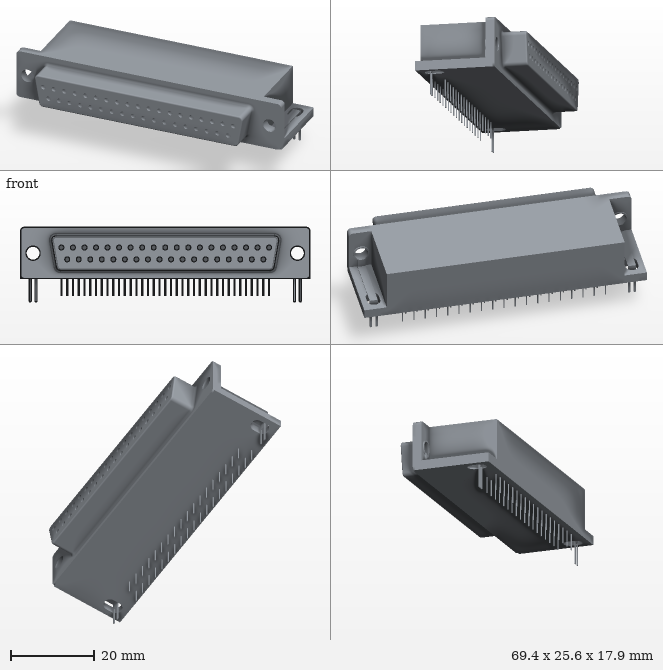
import cadquery as cq
import math

width = 69.4
height = 12.35
sheet_thickness = 0.4
plate_rear = 2.2
corner_radius = 1.0
axis_height = 6.1

housing_width = 58.45
housing_rear = 19.5
flange_thickness = 2.3

shell_length = 6.1
shell_half_width = 27.4
shell_height = 8.25
shell_slant = math.radians(10)
shell_corner_radius = 1.0
shell_front_round = 0.35
shell_base_fillet = 0.55

upper_count = 19
upper_row_span = 49.8
contact_pitch = upper_row_span / (upper_count - 1)
lower_count = upper_count - 1
row_spacing = 2.85
contact_mid_height = 6.05
socket_diameter = 1.2
socket_depth = shell_length
pin_diameter = 0.3
pin_length = 4.0
upper_pin_y = housing_rear - 1.9
lower_pin_y = upper_pin_y - row_spacing

mount_x = 31.7
mount_diameter = 3.3
slot_width = 3.2
eyelet_diameter = 4.0
eyelet_thickness = 0.3

strap_width = 1.95
strap_thickness = 0.2
strap_upright_thickness = 0.5
strap_rear = housing_rear - 3.1
prong_width = 0.55
prong_length = 5.55
prong_chamfer = 0.15
slot_rear_center = housing_rear - 3.25
slot_front_center = housing_rear - 4.85


def box(x_range, y_range, z_range):
    """Box spanning the given (low, high) ranges."""
    size = [high - low for low, high in (x_range, y_range, z_range)]
    corner = (x_range[0], y_range[0], z_range[0])
    return cq.Workplane("XY").box(*size, centered=False).translate(corner)


def rod_along_y(x, z, diameter, y_start, y_end):
    """Cylinder parallel to Y between two depths."""
    profile = cq.Workplane("XZ", origin=(x, y_start, z)).circle(diameter / 2)
    return profile.extrude(y_start - y_end)


def row_positions(count):
    """X positions of a centred row of contacts."""
    return [(i - (count - 1) / 2) * contact_pitch for i in range(count)]


def make_body():
    """Housing, flanges, moulded plate and front sheet."""
    half = width / 2
    plate = box((-half, half), (sheet_thickness, plate_rear), (0, height))
    plate = plate.edges("|Y and >Z").fillet(corner_radius)
    sheet = box((-half, half), (0, sheet_thickness), (0, height))
    sheet = sheet.edges("|Y").fillet(corner_radius)
    half_housing = housing_width / 2
    housing = box((-half_housing, half_housing), (sheet_thickness, housing_rear), (0, height))
    flange = box((-half, half), (sheet_thickness, housing_rear), (0, flange_thickness))
    return plate.union(sheet).union(housing).union(flange)


def add_shell(body):
    """Rounded trapezoidal shell, flared where it meets the sheet."""
    bottom_half_width = shell_half_width - shell_height * math.tan(shell_slant)
    top = axis_height + shell_height / 2
    bottom = axis_height - shell_height / 2
    outline = [
        (-shell_half_width, top),
        (shell_half_width, top),
        (bottom_half_width, bottom),
        (-bottom_half_width, bottom),
    ]
    shell = cq.Workplane("XZ", origin=(0, sheet_thickness, 0)).polyline(outline).close()
    shell = shell.extrude(shell_length + sheet_thickness)
    shell = shell.edges("|Y").fillet(shell_corner_radius)
    shell = shell.faces("<Y").edges().fillet(shell_front_round)
    body = body.union(shell)
    reach = 2 * shell_base_fillet
    edge_margin = 0.01
    base_zone = cq.selectors.BoxSelector(
        (-shell_half_width - reach, -edge_margin, bottom - reach),
        (shell_half_width + reach, edge_margin, top + reach),
        boundingbox=True,
    )
    return body.edges(base_zone).fillet(shell_base_fillet)


def add_contacts(body):
    """Sockets in the shell front and one solder pin for each socket."""
    rows = (
        (upper_count, contact_mid_height + row_spacing / 2, upper_pin_y),
        (lower_count, contact_mid_height - row_spacing / 2, lower_pin_y),
    )
    for count, socket_z, pin_y in rows:
        positions = row_positions(count)
        sockets = cq.Workplane("XZ", origin=(0, -shell_length, socket_z))
        sockets = sockets.pushPoints([(x, 0) for x in positions]).circle(socket_diameter / 2)
        body = body.cut(sockets.extrude(-socket_depth))
        pins = cq.Workplane("XY").pushPoints([(x, pin_y) for x in positions])
        body = body.union(pins.circle(pin_diameter / 2).extrude(-pin_length))
    return body


def make_strap(x):
    """Bent strap: upright behind the plate, flat over the flange, two prongs through the slot."""
    left = x - strap_width / 2
    right = x + strap_width / 2
    strap_top = flange_thickness + strap_thickness
    upright_y = (plate_rear, plate_rear + strap_upright_thickness)
    tail_y = (strap_rear - strap_thickness, strap_rear)
    upright = box((left, right), upright_y, (flange_thickness, axis_height))
    flat = box((left, right), (plate_rear, strap_rear), (flange_thickness, strap_top))
    tail = box((left, right), tail_y, (0, strap_top))
    strap = upright.union(flat).union(tail)
    for prong_left in (left, right - prong_width):
        prong = box((prong_left, prong_left + prong_width), tail_y, (-prong_length, 0))
        strap = strap.union(prong.edges("|Y and <Z").chamfer(prong_chamfer))
    return strap


def add_mount(body, x):
    """Slot, strap, eyelet and mounting hole at one end."""
    slot_y = (slot_rear_center + slot_front_center) / 2
    slot_length = slot_rear_center - slot_front_center + slot_width
    slot = cq.Workplane("XY").center(x, slot_y).slot2D(slot_length, slot_width, 90)
    body = body.cut(slot.extrude(flange_thickness))
    body = body.union(make_strap(x))
    eyelet_rear = plate_rear + eyelet_thickness
    body = body.union(rod_along_y(x, axis_height, eyelet_diameter, plate_rear, eyelet_rear))
    hole_rear = plate_rear + strap_upright_thickness
    return body.cut(rod_along_y(x, axis_height, mount_diameter, 0, hole_rear))


result = add_contacts(add_shell(make_body()))
for side in (-1, 1):
    result = add_mount(result, side * mount_x)